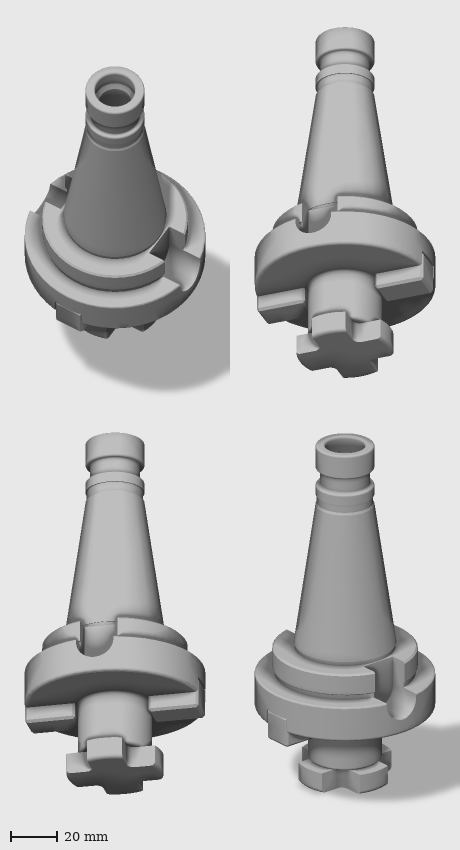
import cadquery as cq
import math


total_height = 156.4

head_diameter = 42.0
head_radius = head_diameter / 2
head_height = 9.4
head_edge_radius = 1.7
head_arm_width = 15.6
head_corner_radius = 3.1

spigot_radius = 16.0
spigot_end_radius = 1.3
relief_radius = 15.8
relief_bottom = 31.1
relief_taper_height = 1.0
relief_fillet = 1.0

flange_bottom = 33.2
flange_top = 49.5
flange_diameter = 78.0
flange_radius = flange_diameter / 2
flange_bottom_fillet = 1.4
flange_top_fillet = 0.8

groove_radius = 30.7
groove_top = 51.8
collar_diameter = 62.9
collar_radius = collar_diameter / 2
collar_top = 61.6
collar_bottom_fillet = 0.5
collar_chamfer = 0.8

taper_neck_radius = 21.9
taper_bottom = 63.5
taper_top = 128.4
taper_radius = 22.2
taper_slope = 7 / 48
taper_top_radius = taper_radius - taper_slope * (taper_top - taper_bottom)

pilot_radius = 12.2
pilot_start = 129.5
ring_bottom = 133.3
ring_top = 138.1
tail_diameter = 25.5
tail_radius = tail_diameter / 2
tail_groove_radius = 10.8
tail_groove_fillet = 0.8
tail_bottom = 145.3
tail_fillet = 1.0

bore_radius = 8.6
mouth_fillet = 1.1
bore_depth = 5.3
bore_relief_radius = 8.8
bore_relief_depth = 7.7
thread_radius = 7.0
thread_lead_depth = 9.5
thread_depth = 31.3
drill_tip_angle = 118.0

slot_width = 16.6
slot_centre_z = 48.2
slot_wall_distance = 22.4

key_width = 13.9
key_bottom = 26.3
key_inner = 16.3
key_outer = 38.5
key_chamfer = 1.1

cut_overrun = 1.5


def turned(points):
    """Solid of revolution about Z from a closed list of (radius, height) points."""
    return cq.Workplane("XZ").polyline(points).close().revolve(360, (0, 0, 0), (0, 1, 0))


def fillet_ring(body, radius, height, size):
    """Round the circular edge that has the given radius and height."""
    def is_ring(edge):
        same_height = math.isclose(edge.Center().z, height, abs_tol=0.002)
        return same_height and math.isclose(edge.radius(), radius, abs_tol=0.002)

    return body.edges("%CIRCLE").filter(is_ring).fillet(size)


def make_draw_bar_hole():
    """Stepped bore, thread hole and drill tip to be removed from the top end."""
    thread_bottom = total_height - thread_depth
    tip_height = thread_radius / math.tan(math.radians(drill_tip_angle / 2))
    return turned([
        (0, total_height),
        (bore_radius, total_height),
        (bore_radius, total_height - bore_depth),
        (bore_relief_radius, total_height - bore_depth),
        (bore_relief_radius, total_height - bore_relief_depth),
        (thread_radius, total_height - thread_lead_depth),
        (thread_radius, thread_bottom),
        (0, thread_bottom - tip_height),
    ])


def make_arbor():
    """Spigot, flanges, taper and tail as one turned body with its hole and rounded edges."""
    arbor = turned([
        (0, head_height),
        (spigot_radius, head_height),
        (spigot_radius, relief_bottom),
        (relief_radius, relief_bottom + relief_taper_height),
        (relief_radius, flange_bottom),
        (flange_radius, flange_bottom),
        (flange_radius, flange_top),
        (groove_radius, flange_top),
        (groove_radius, groove_top),
        (collar_radius, groove_top),
        (collar_radius, collar_top - collar_chamfer),
        (collar_radius - collar_chamfer, collar_top),
        (taper_neck_radius, collar_top),
        (taper_neck_radius, taper_bottom),
        (taper_radius, taper_bottom),
        (taper_top_radius, taper_top),
        (pilot_radius, pilot_start),
        (pilot_radius, ring_bottom),
        (tail_radius, ring_bottom),
        (tail_radius, ring_top),
        (tail_groove_radius, ring_top),
        (tail_groove_radius, tail_bottom),
        (tail_radius, tail_bottom),
        (tail_radius, total_height),
        (0, total_height),
    ])
    arbor = arbor.cut(make_draw_bar_hole())

    rounded_rings = [
        (spigot_radius, head_height, spigot_end_radius),
        (relief_radius, flange_bottom, relief_fillet),
        (flange_radius, flange_bottom, flange_bottom_fillet),
        (flange_radius, flange_top, flange_top_fillet),
        (collar_radius, groove_top, collar_bottom_fillet),
        (tail_radius, ring_top, tail_fillet),
        (tail_groove_radius, ring_top, tail_groove_fillet),
        (tail_groove_radius, tail_bottom, tail_groove_fillet),
        (tail_radius, tail_bottom, tail_fillet),
        (tail_radius, total_height, tail_fillet),
        (bore_radius, total_height, mouth_fillet),
    ]
    for radius, height, size in rounded_rings:
        arbor = fillet_ring(arbor, radius, height, size)
    return arbor


def make_screw_head():
    """Clamping screw head: a disc cut back to a cross with four arms."""
    disc = cq.Workplane("XY").circle(head_radius).extrude(head_height)
    disc = disc.faces("<Z").edges().fillet(head_edge_radius)
    arm_length = head_diameter + cut_overrun
    cross = cq.Workplane("XY").rect(arm_length, head_arm_width).extrude(head_height)
    cross = cross.union(cq.Workplane("XY").rect(head_arm_width, arm_length).extrude(head_height))
    inner_corners = cq.selectors.BoxSelector(
        (-head_arm_width, -head_arm_width, 0),
        (head_arm_width, head_arm_width, head_height),
    )
    cross = cross.edges("|Z").edges(inner_corners).fillet(head_corner_radius)
    return disc.intersect(cross)


def make_drive_slot():
    """Round-bottomed slot through both flanges at the +X end."""
    half_width = slot_width / 2
    section = (
        cq.Workplane("YZ", origin=(slot_wall_distance, 0, 0))
        .moveTo(-half_width, collar_top)
        .lineTo(-half_width, slot_centre_z)
        .threePointArc((0, slot_centre_z - half_width), (half_width, slot_centre_z))
        .lineTo(half_width, collar_top)
        .close()
    )
    return section.extrude(flange_radius + cut_overrun - slot_wall_distance)


def make_key_block(outer_end):
    """Square bar along +Y from the inner end of the key to the given distance."""
    length = outer_end - key_inner
    block = cq.Workplane("XY").box(key_width, length, key_width, centered=(True, False, False))
    return block.translate((0, key_inner, key_bottom))


def make_key():
    """Drive key at the +Y end; its lower, upright and outer edges are chamfered."""
    return make_key_block(key_outer).edges("<Z or |Z or >Y").chamfer(key_chamfer)


def turned_about_axis(shape, angle):
    """Copy of a shape rotated about the arbor axis."""
    return shape.rotate((0, 0, 0), (0, 0, 1), angle)


result = make_arbor()
for angle in (0, 180):
    result = result.cut(turned_about_axis(make_drive_slot(), angle))
    result = result.cut(turned_about_axis(make_key_block(flange_radius + cut_overrun), angle))
    result = result.union(turned_about_axis(make_key(), angle))
result = result.union(make_screw_head())